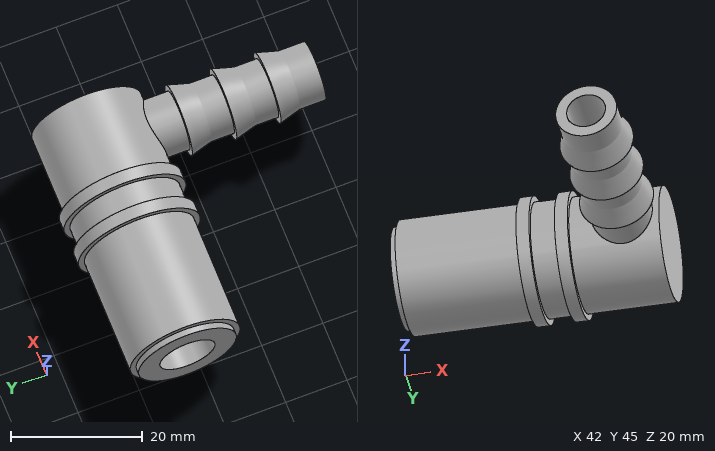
import cadquery as cq

TOTAL_LENGTH = 42.0
TOTAL_DEPTH = 45.0
BARREL_RADIUS = 9.0
LIP_RADIUS = 8.0
LIP_LENGTH = 1.0

BAND_RADIUS = 10.0
BAND_WIDTH = 2.02
BAND_STARTS = (20.0, 25.95)

TAIL_LENGTH = TOTAL_DEPTH - BAND_RADIUS
TAIL_RADIUS = 4.75
BARB_RADIUS = 5.75
BARB_LENGTH = 3.55
BARB_COUNT = 3
BARB_PITCH = 7.25
FIRST_BARB_START = 12.8
TAIL_X = TOTAL_LENGTH - BARB_RADIUS

PASSAGE_RADIUS = 3.0
INLET_RADIUS = 4.5
INLET_DEPTH = BAND_STARTS[0]


def cylinder_x(radius, start, end):
    """Cylinder on the barrel axis between two X positions."""
    return cq.Workplane("YZ", origin=(start, 0, 0)).circle(radius).extrude(end - start)


def cylinder_y(radius, start, end):
    """Cylinder on the tail axis between two distances from the barrel axis, towards -Y."""
    return cq.Workplane("XZ", origin=(TAIL_X, -start, 0)).circle(radius).extrude(end - start)


def make_barb(start):
    """Cone that is widest at its start and narrows to the tail towards the hose end."""
    wide_end = cq.Workplane("XZ", origin=(TAIL_X, -start, 0)).circle(BARB_RADIUS)
    return wide_end.workplane(offset=BARB_LENGTH).circle(TAIL_RADIUS).loft(ruled=True)


def make_passage():
    """Two equal bores meeting in a mitred corner, with a wider inlet."""
    corner = cylinder_x(PASSAGE_RADIUS, TAIL_X - PASSAGE_RADIUS, TAIL_X + PASSAGE_RADIUS).intersect(
        cylinder_y(PASSAGE_RADIUS, -PASSAGE_RADIUS, PASSAGE_RADIUS)
    )
    barrel_bore = cylinder_x(PASSAGE_RADIUS, 0, TAIL_X)
    tail_bore = cylinder_y(PASSAGE_RADIUS, 0, TAIL_LENGTH)
    inlet = cylinder_x(INLET_RADIUS, 0, INLET_DEPTH)
    return barrel_bore.union(tail_bore).union(corner).union(inlet)


def make_elbow():
    """Barrel with its stepped lip, the barbed tail and the passage through both."""
    elbow = cylinder_x(BARREL_RADIUS, LIP_LENGTH, TOTAL_LENGTH)
    elbow = elbow.union(cylinder_x(LIP_RADIUS, 0, LIP_LENGTH))
    elbow = elbow.union(cylinder_y(TAIL_RADIUS, 0, TAIL_LENGTH))
    for index in range(BARB_COUNT):
        elbow = elbow.union(make_barb(FIRST_BARB_START + index * BARB_PITCH))
    return elbow.cut(make_passage()).solids()


def make_band(start):
    """Plain ring fitted around the barrel."""
    outside = cylinder_x(BAND_RADIUS, start, start + BAND_WIDTH)
    return outside.cut(cylinder_x(BARREL_RADIUS, start, start + BAND_WIDTH)).solids()


elbow = make_elbow()
bands = [make_band(start) for start in BAND_STARTS]

result = cq.Compound.makeCompound([elbow.val(), *[band.val() for band in bands]])